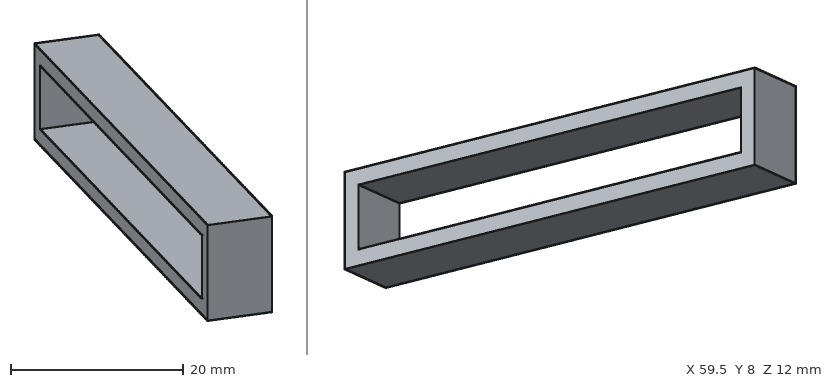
import cadquery as cq

length = 59.5
depth = 8.0
height = 12.0
wall = 2.0

opening_length = length - 2 * wall
opening_height = height - 2 * wall

frame = cq.Workplane("XY").box(length, depth, height)
opening = cq.Workplane("XY").box(opening_length, depth, opening_height)

result = frame.cut(opening)